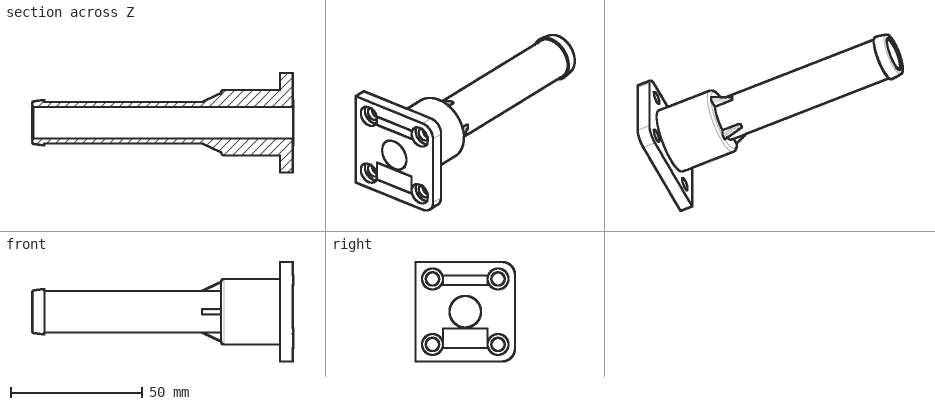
import cadquery as cq

total_length = 99.5
label_height = 0.1
flange_thickness = 5.0
collar_length = 22.4
barb_length = 4.6
flange_rear = total_length - label_height
flange_front = flange_rear - flange_thickness
collar_front = flange_front - collar_length

bore_radius = 6.0
tube_radius = 8.0
collar_radius = 12.5
collar_rounding = 1.0
barb_tip_radius = 8.1
barb_radius = 8.7
barb_bulge = 0.1
barb_rounding = 0.6
mouth_chamfer = 0.5

flange_side = 38.0
flange_corner_radius = 5.0
hole_diameter = 5.0
hole_spacing = 25.0
counterbore_diameter = 8.0
counterbore_depth = 2.5

rib_count = 4
rib_width = 2.2
rib_length = 7.4
rib_rounding = 0.5
rib_top_radius = 11.4
rib_embedding = 1.0
rib_root_radius = tube_radius - rib_embedding

label_width = 16.9
label_strips = [(12.0, 3.6), (-10.0, 7.5)]


def cylinder_along_x(radius, start, end):
    return cq.Workplane("YZ", origin=(start, 0, 0)).circle(radius).extrude(end - start)


def make_barb():
    middle = (barb_length / 2, (barb_tip_radius + barb_radius) / 2 + barb_bulge)
    profile = (
        cq.Workplane("XY")
        .lineTo(0, barb_tip_radius)
        .threePointArc(middle, (barb_length, barb_radius))
        .lineTo(barb_length, 0)
        .close()
    )
    barb = profile.revolve(360, (0, 0, 0), (1, 0, 0))
    return barb.faces("<X").edges().fillet(barb_rounding)


def make_collar():
    collar = cylinder_along_x(collar_radius, collar_front, flange_front)
    return collar.faces("<X").edges().fillet(collar_rounding)


def make_rib(angle):
    slope = (rib_top_radius - tube_radius) / rib_length
    toe = collar_front - rib_length - rib_embedding / slope
    inside_collar = collar_front + rib_embedding
    rib = (
        cq.Workplane("XZ", origin=(0, rib_width / 2, 0))
        .moveTo(toe, rib_root_radius)
        .lineTo(inside_collar, rib_top_radius + rib_embedding * slope)
        .lineTo(inside_collar, rib_root_radius)
        .close()
        .extrude(rib_width)
        .edges(cq.selectors.ParallelDirSelector(cq.Vector(1, 0, slope)))
        .fillet(rib_rounding)
    )
    return rib.rotate((0, 0, 0), (1, 0, 0), angle)


def make_flange():
    flange = (
        cq.Workplane("YZ", origin=(flange_front, 0, 0))
        .rect(flange_side, flange_side)
        .extrude(flange_thickness)
        .edges("|X and >Y")
        .fillet(flange_corner_radius)
    )
    return (
        flange.faces(">X")
        .workplane(origin=(flange_rear, 0, 0))
        .rect(hole_spacing, hole_spacing, forConstruction=True)
        .vertices()
        .cboreHole(hole_diameter, counterbore_diameter, counterbore_depth)
    )


result = cylinder_along_x(tube_radius, barb_length / 2, flange_rear)
result = result.union(make_barb()).union(make_collar()).union(make_flange())
for index in range(rib_count):
    result = result.union(make_rib(index * 360 / rib_count))
for center_z, height in label_strips:
    strip = (
        cq.Workplane("YZ", origin=(flange_rear, 0, center_z))
        .rect(label_width, height)
        .extrude(label_height)
    )
    result = result.union(strip)
result = result.cut(cylinder_along_x(bore_radius, 0, total_length))
mouth = result.faces("<X").edges("%CIRCLE").edges(cq.selectors.RadiusNthSelector(0))
result = mouth.chamfer(mouth_chamfer)